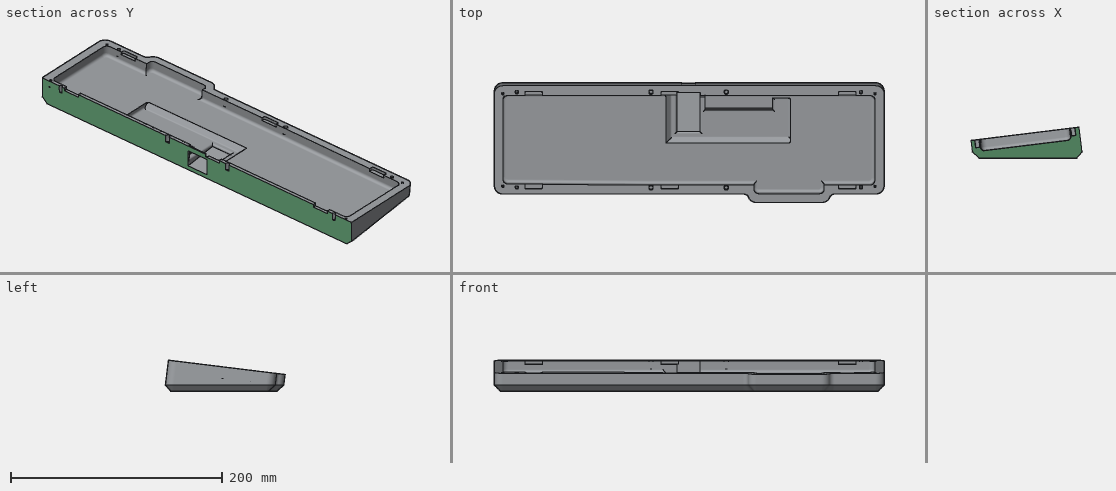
import cadquery as cq
import math


length = 369.0
depth = 103.5
back_height = 29.5
tilt_angle = 7.0
corner_radius = 8.0
base_bevel = 6.0

half_length = length / 2
half_depth = depth / 2
lift = back_height - half_depth * math.sin(math.radians(tilt_angle))

bump_x = 94.5
bump_reach = 8.0
bump_width = 62.0
bump_tip_radius = 8.0
bump_root_radius = 5.0

left_wall = 8.0
right_wall = 9.0
back_wall = 9.2
front_wall = 8.5
front_wall_slant = 1.0
slant_end_x = -37.0
tray_depth = 11.0
tray_radius = 5.0
tray_floor_fillet = 3.0
bay_left = 61.3
bay_right = 127.5
bay_radius = 4.5

tray_left = -half_length + left_wall
tray_right = half_length - right_wall
tray_back = half_depth - back_wall
tray_front = -half_depth + front_wall
bay_front = tray_front - bump_reach

pocket_left = -22.0
pocket_right = 96.0
pocket_front = half_depth - 56.0
pocket_back = half_depth - 13.3
pocket_depth = 5.5
left_bank_run = 5.0
front_bank_run = 4.5
pocket_fillet = 2.0
pocket_corner_radius = 2.2
pocket_floor = -tray_depth - pocket_depth

block_left = 15.0
block_right = 79.0
block_front = half_depth - 24.7
block_bevel_run = 2.2
block_bevel_drop = 3.0

well_left = -11.8
well_right = 10.5
well_length = 39.5
well_floor = 5.0
well_lip_fillet = 2.0
well_back_wall = 6.5
port_width = 13.3
port_height = 6.3
port_sill = 0.5

well_back = half_depth - well_back_wall
well_front = well_back - well_length
well_x = (well_left + well_right) / 2

clip_xs = (-147.2, -18.5, 149.5)
clip_width = 16.5
clip_reach = 3.7
clip_depth = 3.0
clip_radius = 1.5
hole_depth = 7.5
rim_holes = (
    ((-176.5, 175.5), 2.0, 7.7, 7.5),
    ((-163.0, 162.5), 3.0, 6.3, 6.3),
    ((-36.0, 35.0), 4.0, 6.3, 6.0),
)


def lean(shape):
    """Move a flat-modelled shape to its leaned, lifted position."""
    return shape.rotate((0, 0, 0), (1, 0, 0), tilt_angle).translate((0, 0, lift))


def block(x0, x1, y0, y1, z0, z1):
    """Box spanning the given limits."""
    return cq.Workplane("XY").box(x1 - x0, y1 - y0, z1 - z0, centered=False).translate((x0, y0, z0))


def outer_body():
    plate_depth = 2 * back_height
    body = block(-half_length, half_length, -half_depth, half_depth, -plate_depth, 0)
    body = body.edges("|Z").fillet(corner_radius)
    front = -half_depth
    tip = front - bump_reach
    swing = math.acos(1 - bump_reach / (bump_tip_radius + bump_root_radius))
    tip_x = bump_width / 2
    meet_x = tip_x + bump_tip_radius * math.sin(swing)
    meet_y = tip + bump_tip_radius * (1 - math.cos(swing))
    root_x = meet_x + bump_root_radius * math.sin(swing)
    bump = (
        cq.Workplane("XY", origin=(bump_x, 0, 0))
        .moveTo(-root_x, 0)
        .lineTo(-root_x, front)
        .radiusArc((-meet_x, meet_y), bump_root_radius)
        .radiusArc((-tip_x, tip), -bump_tip_radius)
        .lineTo(tip_x, tip)
        .radiusArc((meet_x, meet_y), -bump_tip_radius)
        .radiusArc((root_x, front), bump_root_radius)
        .lineTo(root_x, 0)
        .close()
        .extrude(-plate_depth)
    )
    body = body.union(bump)
    above_ground = block(-length, length, -length, length, 0, length)
    body = lean(body).intersect(above_ground)
    return body.faces("<Z").edges().chamfer(base_bevel)


def tray():
    outline = [
        (tray_left, tray_back),
        (tray_left, tray_front + front_wall_slant),
        (slant_end_x, tray_front),
        (bay_left, tray_front),
        (bay_left, bay_front),
        (bay_right, bay_front),
        (bay_right, tray_front),
        (tray_right, tray_front),
        (tray_right, tray_back),
    ]
    cut = cq.Workplane("XY").polyline(outline).close().extrude(-tray_depth)
    middle = -tray_depth / 2
    rounded = (
        (outline[0], tray_radius), (outline[1], tray_radius),
        (outline[4], bay_radius), (outline[5], bay_radius),
        (outline[7], tray_radius), (outline[8], tray_radius),
    )
    for (x, y), radius in rounded:
        cut = cut.edges(cq.selectors.NearestToPointSelector((x, y, middle))).fillet(radius)
    return cut.faces("<Z").edges().fillet(tray_floor_fillet)


def pocket():
    top = -tray_depth
    plan = (
        cq.Workplane("XY", origin=(0, 0, pocket_floor))
        .polyline([
            (pocket_left, pocket_front),
            (pocket_right, pocket_front),
            (pocket_right, pocket_back),
            (block_right, pocket_back),
            (block_right, block_front),
            (block_left, block_front),
            (block_left, tray_back),
            (pocket_left, tray_back),
        ])
        .close()
        .extrude(pocket_depth)
    )
    plan = plan.edges("|Z and >X").fillet(pocket_corner_radius)
    left_bank = (
        cq.Workplane("XZ", origin=(0, tray_back, 0))
        .polyline([
            (pocket_left, top),
            (pocket_left, pocket_floor),
            (pocket_left + left_bank_run, pocket_floor),
        ])
        .close()
        .extrude(depth)
    )
    front_bank = (
        cq.Workplane("YZ", origin=(pocket_left, 0, 0))
        .polyline([
            (pocket_front, top),
            (pocket_front, pocket_floor),
            (pocket_front + front_bank_run, pocket_floor),
        ])
        .close()
        .extrude(length)
    )
    block_bevel = (
        cq.Workplane("YZ", origin=(block_left, 0, 0))
        .polyline([
            (block_front, top),
            (block_front + block_bevel_run, top),
            (block_front, top - block_bevel_drop),
        ])
        .close()
        .extrude(block_right - block_left)
    )
    mouth_top = top + tray_floor_fillet
    mouth_flare = tray_floor_fillet * left_bank_run / pocket_depth
    mouth = (
        cq.Workplane("XZ", origin=(0, tray_back, 0))
        .polyline([
            (pocket_left, top),
            (pocket_left - mouth_flare, mouth_top),
            (well_x, mouth_top),
            (well_x, top),
        ])
        .close()
        .extrude(tray_floor_fillet)
    )
    cut = plan.cut(left_bank).cut(front_bank)
    cut = cut.faces("<Z").edges("not >Y").fillet(pocket_fillet)
    return cut.union(block_bevel).union(mouth)


def well():
    """Leaned walls over a level floor."""
    shaft = block(well_left, well_right, well_front, well_back, -back_height, 0)
    above_floor = block(-length, length, -length, length, well_floor, length)
    return lean(shaft).intersect(above_floor)


def round_well_lip(body):
    """Round the three edges where the well breaks through the pocket floor."""
    side_y = (well_front + well_back) / 2
    lip = []
    for x, y in ((well_left, side_y), (well_x, well_front), (well_right, side_y)):
        middle = lean(cq.Vertex.makeVertex(x, y, pocket_floor)).toTuple()
        lip += body.edges(cq.selectors.NearestToPointSelector(middle)).vals()
    return body.newObject(lip).fillet(well_lip_fillet)


def port():
    """Level opening from the well out through the back wall."""
    x0 = well_x - port_width / 2
    z0 = well_floor + port_sill
    return block(x0, x0 + port_width, well_back, length, z0, z0 + port_height)


def clip_recess(x, wall_y, direction):
    """Recess in the rim, opening toward the tray, its far corners rounded."""
    y0 = wall_y - direction * clip_reach
    y1 = wall_y + direction * clip_reach
    cut = block(x - clip_width / 2, x + clip_width / 2, min(y0, y1), max(y0, y1), -clip_depth, 0)
    far_side = ">Y" if direction > 0 else "<Y"
    return cut.faces(far_side).edges("|Z").fillet(clip_radius)


def rim_hole(x, y, diameter):
    return cq.Workplane("XY").center(x, y).circle(diameter / 2).extrude(-hole_depth)


result = outer_body().cut(lean(tray())).cut(lean(pocket()))
result = round_well_lip(result.cut(well()))
result = result.cut(port())
for clip_x in clip_xs:
    result = result.cut(lean(clip_recess(clip_x, tray_back, 1)))
    result = result.cut(lean(clip_recess(clip_x, tray_front, -1)))
for hole_xs, diameter, from_back, from_front in rim_holes:
    for hole_x in hole_xs:
        for hole_y in (half_depth - from_back, from_front - half_depth):
            result = result.cut(lean(rim_hole(hole_x, hole_y, diameter)))